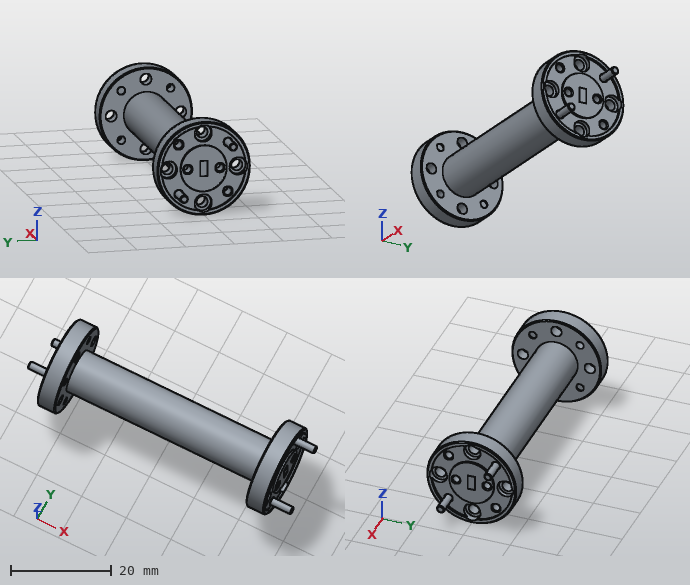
import cadquery as cq
import math

total_length = 58.95
face_to_face = 50.8
flange_thickness = 4.0
tube_diameter = 9.15

flange_diameter = 19.05
edge_chamfer = 0.25

boss_diameter = 9.4
relief_diameter = 17.2
relief_depth = 0.5

hole_circle_radius = 7.15
bolt_hole_diameter = 2.25
counterbore_diameter = 3.55
counterbore_depth = 1.5

pin_diameter = 1.6
pin_chamfer = 0.2
pin_recess = 0.3
pin_hole_chamfer = 0.1
dowel_hole_diameter = 1.6
dowel_hole_chamfer = 0.25

inner_hole_offset = 3.3
inner_hole_diameter = 1.55
inner_hole_depth = 2.95
inner_hole_chamfer = 0.25
drill_tip_angle = 118.0

port_width = 1.55
port_height = 3.1
port_depth = 0.1

face_x = face_to_face / 2
flange_back_x = face_x - flange_thickness
pin_back_x = flange_back_x + pin_recess
tip_x = total_length / 2
diagonal_offset = hole_circle_radius * math.sqrt(0.5)

bolt_points = [
    (hole_circle_radius, 0),
    (0, hole_circle_radius),
    (-hole_circle_radius, 0),
    (0, -hole_circle_radius),
]
pin_points = [(diagonal_offset, diagonal_offset), (-diagonal_offset, -diagonal_offset)]
dowel_hole_points = [(-diagonal_offset, diagonal_offset), (diagonal_offset, -diagonal_offset)]
inner_hole_points = [(inner_hole_offset, 0), (-inner_hole_offset, 0)]


def plane_at(x):
    """YZ plane at x, facing +X."""
    return cq.Workplane("YZ", origin=(x, 0, 0))


def revolved(profile, center=(0, 0)):
    """Turn an (X, radius) profile about a line parallel to X through the (Y, Z) center."""
    turned = cq.Workplane("XY").polyline(profile).close().revolve(360, (0, 0, 0), (1, 0, 0))
    return turned.translate((0, *center))


def flange_blank():
    """Disc with chamfered rims and an annular relief in its mating face."""
    radius = flange_diameter / 2
    blank = revolved([
        (flange_back_x, 0),
        (flange_back_x, radius - edge_chamfer),
        (flange_back_x + edge_chamfer, radius),
        (face_x - edge_chamfer, radius),
        (face_x, radius - edge_chamfer),
        (face_x, 0),
    ])
    relief = plane_at(face_x).circle(relief_diameter / 2).circle(boss_diameter / 2).extrude(-relief_depth)
    return blank.cut(relief)


def bolt_hole_cutter():
    """Through holes counterbored from the mating face."""
    through = plane_at(flange_back_x).pushPoints(bolt_points).circle(bolt_hole_diameter / 2)
    counterbores = plane_at(face_x).pushPoints(bolt_points).circle(counterbore_diameter / 2)
    return through.extrude(flange_thickness).union(counterbores.extrude(-counterbore_depth))


def chamfered_hole_cutter(center, diameter, chamfer):
    """Through hole with a chamfered mouth at the floor of the relief."""
    radius = diameter / 2
    mouth_x = face_x - relief_depth
    return revolved([
        (flange_back_x, 0),
        (flange_back_x, radius),
        (mouth_x - chamfer, radius),
        (mouth_x, radius + chamfer),
        (mouth_x, 0),
    ], center)


def inner_hole_cutter(center):
    """Drilled blind hole with a conical end and a chamfered mouth."""
    radius = inner_hole_diameter / 2
    shoulder_x = face_x - inner_hole_depth
    tip_length = radius / math.tan(math.radians(drill_tip_angle / 2))
    return revolved([
        (shoulder_x - tip_length, 0),
        (shoulder_x, radius),
        (face_x - inner_hole_chamfer, radius),
        (face_x, radius + inner_hole_chamfer),
        (face_x, 0),
    ], center)


def port_cutter():
    """Shallow rectangular recess in the middle of the boss."""
    return plane_at(face_x).rect(port_width, port_height).extrude(-port_depth)


def make_flange():
    """Flange on the +X end."""
    flange = flange_blank().cut(bolt_hole_cutter())
    flange = flange.cut(port_cutter())
    for center in pin_points:
        flange = flange.cut(chamfered_hole_cutter(center, pin_diameter, pin_hole_chamfer))
    for center in dowel_hole_points:
        flange = flange.cut(chamfered_hole_cutter(center, dowel_hole_diameter, dowel_hole_chamfer))
    for center in inner_hole_points:
        flange = flange.cut(inner_hole_cutter(center))
    return flange


def make_pin(center):
    """Dowel pin in the +X flange, with a chamfered tip and its back end just below the flange surface."""
    length = tip_x - pin_back_x
    pin = plane_at(pin_back_x).center(*center).circle(pin_diameter / 2).extrude(length)
    return pin.faces(">X").chamfer(pin_chamfer)


def to_other_end(body):
    """Half turn about Z, from the +X end to the -X end."""
    return body.rotate((0, 0, 0), (0, 0, 1), 180)


def make_waveguide():
    """Round tube with a flange on each end, all one body."""
    tube = plane_at(-flange_back_x).circle(tube_diameter / 2).extrude(2 * flange_back_x)
    flange = make_flange()
    return tube.union(flange).union(to_other_end(flange))


waveguide = make_waveguide()

pins = []
for pin_center in pin_points:
    pin = make_pin(pin_center)
    pins.append(pin.val())
    pins.append(to_other_end(pin).val())

result = cq.Compound.makeCompound([waveguide.val(), *pins])